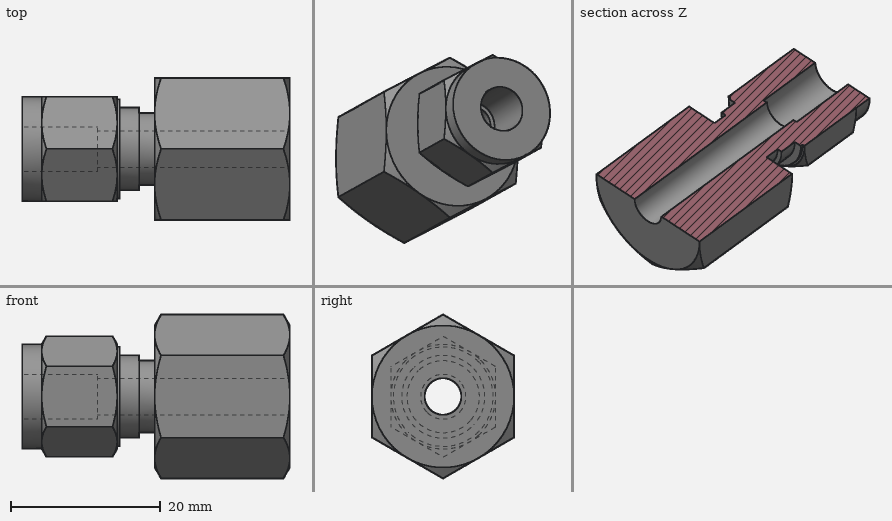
import cadquery as cq
import math

total_length = 35.8
nut_hex_start = 2.6
nut_hex_end = 12.7
washer_end = 13.05
shoulder_end = 15.65
body_hex_start = 17.72

nut_flats = 14.0
body_flats = 19.0

washer_diameter = 13.3
shoulder_diameter = 11.1
neck_diameter = 9.65
tube_socket_diameter = 6.0
bore_diameter = 4.87

tube_socket_depth = 10.02

hex_sides = 6
chamfer_angle = 30.0


def cylinder_x(start, end, diameter):
    """Solid cylinder along X between two stations."""
    return cq.Workplane("YZ", origin=(start, 0, 0)).circle(diameter / 2).extrude(end - start)


def chamfered_hex(start, end, flats):
    """Hexagonal bar along X with corners up and down, cone-chamfered at both ends."""
    corners = flats / math.cos(math.pi / hex_sides)
    hexagon = (
        cq.Workplane("YZ", origin=(start, 0, 0))
        .polygon(hex_sides, corners)
        .extrude(end - start)
        .rotate((0, 0, 0), (1, 0, 0), 90)
    )
    face_radius = flats / 2
    outer_radius = corners / 2
    chamfer_length = (outer_radius - face_radius) * math.tan(math.radians(chamfer_angle))
    envelope = (
        cq.Workplane("XY")
        .moveTo(start, 0)
        .lineTo(start, face_radius)
        .lineTo(start + chamfer_length, outer_radius)
        .lineTo(end - chamfer_length, outer_radius)
        .lineTo(end, face_radius)
        .lineTo(end, 0)
        .close()
        .revolve(360, (0, 0, 0), (1, 0, 0))
    )
    return hexagon.intersect(envelope)


nut = (
    cylinder_x(0, nut_hex_start, nut_flats)
    .union(chamfered_hex(nut_hex_start, nut_hex_end, nut_flats))
    .union(cylinder_x(nut_hex_end, washer_end, washer_diameter))
)

body = (
    cylinder_x(washer_end, shoulder_end, shoulder_diameter)
    .union(cylinder_x(shoulder_end, body_hex_start, neck_diameter))
    .union(chamfered_hex(body_hex_start, total_length, body_flats))
)

tube_socket = cylinder_x(0, tube_socket_depth, tube_socket_diameter)
bore = cylinder_x(0, total_length, bore_diameter)

result = nut.union(body).cut(tube_socket).cut(bore)